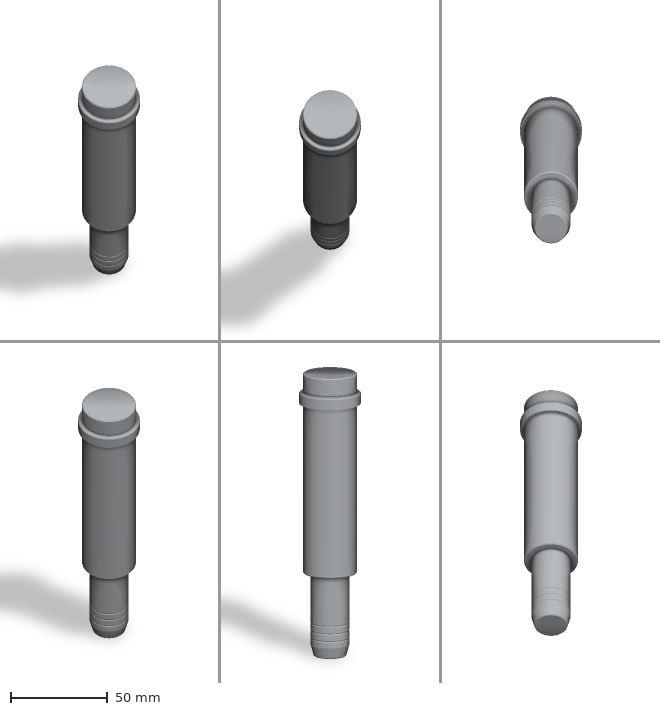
import cadquery as cq

total_length = 150.0
collar_radius = 32.0 / 2
body_radius = 14.0
spigot_radius = 10.0

body_bottom = 44.0
collar_bottom = 134.0
collar_height = 6.0
collar_top = collar_bottom + collar_height

edge_chamfer = 0.5

groove_width = 1.0
groove_depth = 0.25
tip_groove_count = 3
first_tip_groove = 9.5
tip_groove_pitch = 4.0

neck_depth = 0.3
neck_height = 0.8

lead_in_height = 6.0
tip_radius = 8.5
tip_chamfer = 0.5


def cylinder(radius, bottom, top):
    return cq.Workplane("XY").workplane(offset=bottom).circle(radius).extrude(top - bottom)


def revolve_about_z(profile):
    return profile.close().revolve(360, (0, 0, 0), (0, 1, 0))


def make_groove_cutter(radius, height):
    """Ring of triangular section that cuts a V groove centred at the given height."""
    profile = (
        cq.Workplane("XZ")
        .moveTo(radius, height - groove_width / 2)
        .lineTo(radius - groove_depth, height)
        .lineTo(radius, height + groove_width / 2)
    )
    return revolve_about_z(profile)


def make_spigot():
    neck_bottom = body_bottom - neck_height
    tip = (
        cq.Workplane("XZ")
        .lineTo(tip_radius - tip_chamfer, 0)
        .lineTo(tip_radius, tip_chamfer)
        .lineTo(spigot_radius, lead_in_height)
        .lineTo(0, lead_in_height)
    )
    shank = cylinder(spigot_radius, lead_in_height, neck_bottom)
    neck = cylinder(spigot_radius - neck_depth, neck_bottom, body_bottom)
    spigot = revolve_about_z(tip).union(shank).union(neck)
    for index in range(tip_groove_count):
        height = first_tip_groove + index * tip_groove_pitch
        spigot = spigot.cut(make_groove_cutter(spigot_radius, height))
    return spigot


def make_body():
    """Main cylinder and head in one, with a groove against each face of the collar."""
    body = cylinder(body_radius, body_bottom, total_length).faces("<Z or >Z").chamfer(edge_chamfer)
    for height in (collar_bottom - groove_width / 2, collar_top + groove_width / 2):
        body = body.cut(make_groove_cutter(body_radius, height))
    return body


def make_collar():
    return cylinder(collar_radius, collar_bottom, collar_top).faces(">Z").chamfer(edge_chamfer)


result = make_spigot().union(make_body()).union(make_collar())